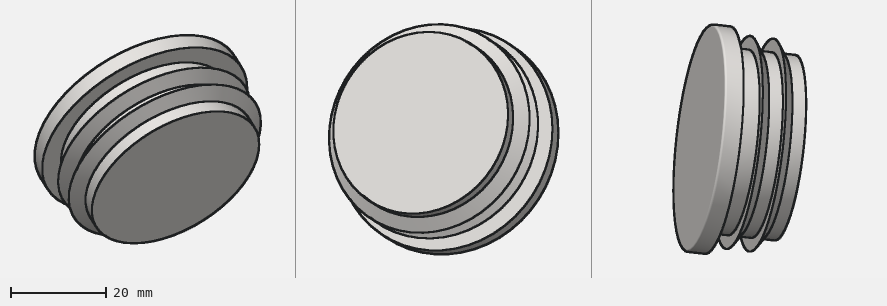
import cadquery as cq

head_diameter = 48.0
head_thickness = 4.0
head_edge_radius = 0.5
total_length = 18.5
shank_diameter = 39.15

lip_diameter = 45.0
lip_length = 2.05
first_lip_start = 8.45
lip_pitch = 5.0
lip_count = 2


def disc(start, length, diameter):
    """Cylinder along +X beginning at X = start."""
    return cq.Workplane("YZ", origin=(start, 0, 0)).circle(diameter / 2).extrude(length)


def lip(start):
    """Cone frustum along +X, widest at X = start."""
    cone = cq.Solid.makeCone(
        lip_diameter / 2,
        shank_diameter / 2,
        lip_length,
        pnt=cq.Vector(start, 0, 0),
        dir=cq.Vector(1, 0, 0),
    )
    return cq.Workplane(obj=cone)


head = disc(0, head_thickness, head_diameter).faces("<X").edges().fillet(head_edge_radius)
shank = disc(head_thickness, total_length - head_thickness, shank_diameter)

result = head.union(shank)
for index in range(lip_count):
    result = result.union(lip(first_lip_start + index * lip_pitch))